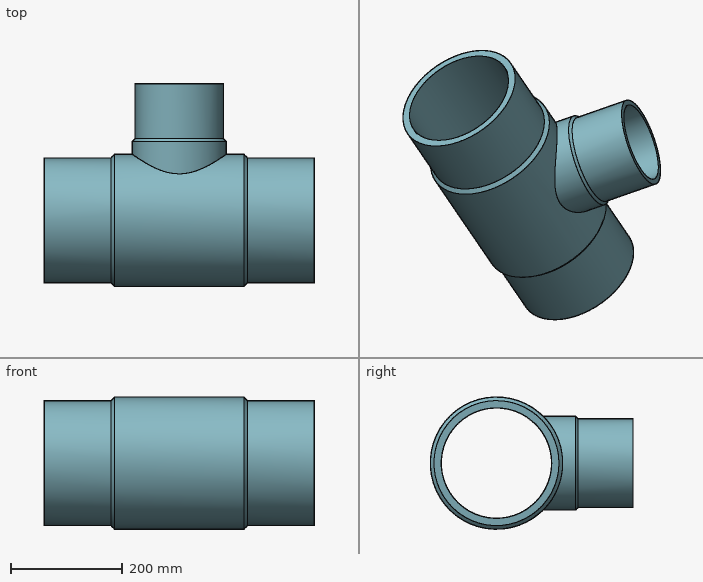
import cadquery as cq

run_length = 486.0
run_outer_d = 225.0
run_bore_d = 198.2

body_length = 246.0
body_d = 238.4
body_chamfer = (body_d - run_outer_d) / 2

branch_reach = 246.0
branch_outer_d = 160.0
branch_bore_d = 141.0

collar_reach = 147.0
collar_d = 169.5
collar_chamfer = (collar_d - branch_outer_d) / 2


def run_cylinder(diameter, length):
    """Cylinder along X, centred on the origin."""
    return cq.Workplane("YZ").circle(diameter / 2).extrude(length / 2, both=True)


def branch_cylinder(diameter, reach):
    """Cylinder from the main axis out along +Y."""
    return cq.Workplane("XZ").circle(diameter / 2).extrude(-reach)


body = run_cylinder(body_d, body_length).faces("<X or >X").chamfer(body_chamfer)
collar = branch_cylinder(collar_d, collar_reach).faces(">Y").chamfer(collar_chamfer)
run_pipe = run_cylinder(run_outer_d, run_length)
branch_pipe = branch_cylinder(branch_outer_d, branch_reach)
outer = body.union(run_pipe).union(collar).union(branch_pipe)

run_bore = run_cylinder(run_bore_d, run_length)
branch_bore = branch_cylinder(branch_bore_d, branch_reach)

result = outer.cut(run_bore).cut(branch_bore)